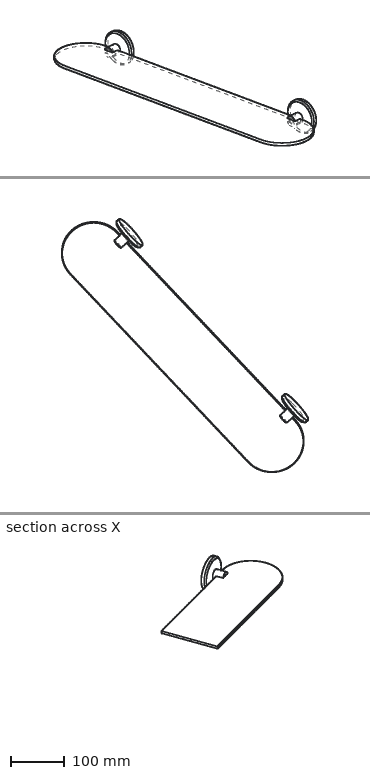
import math

import cadquery as cq

SHELF_LENGTH = 611.4
SHELF_WIDTH = 120.0
SHELF_THICKNESS = 6.0
RIM_RADIUS = 7.98 / 2

TOTAL_DEPTH = 138.41
BRACKET_SPACING = 457.0
ROSETTE_RADIUS = 33.0
ROSETTE_RIM_DEPTH = 6.5
ROSETTE_FACE_RADIUS = 30.0
ROSETTE_SHOULDER_DEPTH = 9.5
ROSETTE_DEPTH = 12.3
STEM_RADIUS = 10.0
STEM_REACH = 34.0

SHELF_END_RADIUS = SHELF_WIDTH / 2
SHELF_CENTER_Y = SHELF_END_RADIUS - TOTAL_DEPTH
STRAIGHT_LENGTH = SHELF_LENGTH - SHELF_WIDTH
HALF_THICKNESS = SHELF_THICKNESS / 2
RIM_BULGE = RIM_RADIUS - math.sqrt(RIM_RADIUS**2 - HALF_THICKNESS**2)
FLAT_RADIUS = SHELF_END_RADIUS - RIM_BULGE


def make_shelf_middle():
    """Straight stretch of the shelf: a bulged cross-section extruded along X."""
    return (
        cq.Workplane("YZ")
        .moveTo(-FLAT_RADIUS, HALF_THICKNESS)
        .lineTo(FLAT_RADIUS, HALF_THICKNESS)
        .threePointArc((SHELF_END_RADIUS, 0), (FLAT_RADIUS, -HALF_THICKNESS))
        .lineTo(-FLAT_RADIUS, -HALF_THICKNESS)
        .threePointArc((-SHELF_END_RADIUS, 0), (-FLAT_RADIUS, HALF_THICKNESS))
        .close()
        .extrude(STRAIGHT_LENGTH / 2, both=True)
    )


def make_shelf_end(x):
    """Round end of the shelf: a disc with the same bulged rim, centred at the given X."""
    return (
        cq.Workplane("XZ")
        .moveTo(0, HALF_THICKNESS)
        .lineTo(FLAT_RADIUS, HALF_THICKNESS)
        .threePointArc((SHELF_END_RADIUS, 0), (FLAT_RADIUS, -HALF_THICKNESS))
        .lineTo(0, -HALF_THICKNESS)
        .close()
        .revolve(360, (0, 0, 0), (0, 1, 0))
        .translate((x, 0, 0))
    )


def make_shelf():
    """Stadium-shaped plate joined from its straight stretch and two round ends."""
    shelf = make_shelf_middle()
    for side in (-1, 1):
        shelf = shelf.union(make_shelf_end(side * STRAIGHT_LENGTH / 2))
    return shelf.clean().translate((0, SHELF_CENTER_Y, 0))


def make_bracket(x):
    """Rosette with a shallow conical face and a round stem, turned about an axis along Y."""
    return (
        cq.Workplane("XY")
        .lineTo(ROSETTE_RADIUS, 0)
        .lineTo(ROSETTE_RADIUS, -ROSETTE_RIM_DEPTH)
        .lineTo(ROSETTE_FACE_RADIUS, -ROSETTE_SHOULDER_DEPTH)
        .lineTo(STEM_RADIUS, -ROSETTE_DEPTH)
        .lineTo(STEM_RADIUS, -STEM_REACH)
        .lineTo(0, -STEM_REACH)
        .close()
        .revolve(360, (0, 0, 0), (0, 1, 0))
        .translate((x, 0, 0))
    )


result = make_shelf()
for side in (-1, 1):
    result = result.union(make_bracket(side * BRACKET_SPACING / 2))